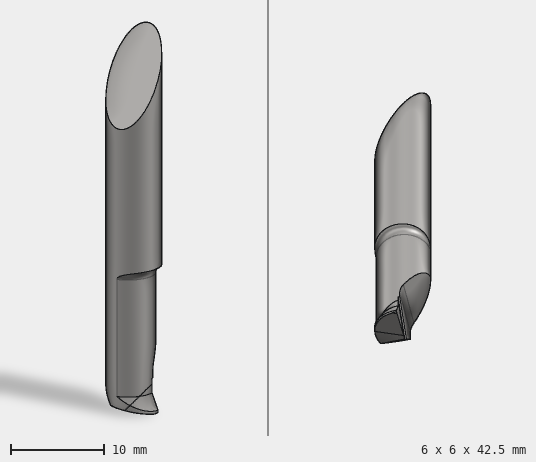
import cadquery as cq
import math

length = 42.45
diameter = 6.0
radius = diameter / 2
reach = 2 * diameter

bevel_angle = math.radians(30)
flat_y = 0.15
slope_top_z = 10.2
slope_blend_radius = 2.97

neck_offset = 0.72
neck_bottom_z = 2.15
neck_top_z = 15.25
neck_fillet = 1.0
flare_angle = math.radians(22)

end_bevel_top_z = 3.2
end_bevel_angle = math.radians(37)
edge_angle = math.radians(8)
relief_angle = math.radians(7.6)
nose_radius = 0.2
nose_x = 2.8
rake_y = 0.0

seat_x = 2.25
seat_z = 3.2
seat_angle = math.radians(45)
seat_tilt = math.radians(15)


def make_bar():
    """Cylinder trimmed to the bevelled, flattened side profile."""
    slope_length_z = (radius - flat_y) / math.tan(bevel_angle)
    slope_bottom_z = slope_top_z - slope_length_z
    bevel_bottom_z = length - diameter / math.tan(bevel_angle)

    tangent = slope_blend_radius * math.tan(bevel_angle / 2)
    blend_start = (flat_y, slope_bottom_z - tangent)
    blend_end = (flat_y + tangent * math.sin(bevel_angle),
                 slope_bottom_z + tangent * math.cos(bevel_angle))
    blend_mid = (flat_y + slope_blend_radius * (1 - math.cos(bevel_angle / 2)),
                 blend_start[1] + slope_blend_radius * math.sin(bevel_angle / 2))
    profile = (
        cq.Workplane("YZ")
        .moveTo(-radius, 0)
        .lineTo(flat_y, 0)
        .lineTo(*blend_start)
        .threePointArc(blend_mid, blend_end)
        .lineTo(radius, slope_top_z)
        .lineTo(radius, length)
        .lineTo(-radius, bevel_bottom_z)
        .close()
        .extrude(reach, both=True)
    )
    return cq.Workplane("XY").circle(radius).extrude(length).intersect(profile)


def neck_cutter():
    """Ring around the neck, with a fillet above and a conical flare below."""
    outer = radius + neck_fillet
    flare_end_z = neck_bottom_z - neck_fillet / math.tan(flare_angle)
    arc_mid = (outer - neck_fillet * math.cos(math.pi / 4),
               neck_top_z + neck_fillet * math.sin(math.pi / 4))
    return (
        cq.Workplane("XZ")
        .moveTo(outer, flare_end_z)
        .lineTo(radius, neck_bottom_z)
        .lineTo(radius, neck_top_z)
        .threePointArc(arc_mid, (outer, neck_top_z + neck_fillet))
        .close()
        .revolve(360, (0, 0), (0, 1))
        .translate((-neck_offset, 0, 0))
    )


def end_bevel_cutter():
    """Wedge below the slanted face on the -X side."""
    run = end_bevel_top_z * math.tan(end_bevel_angle)
    return (
        cq.Workplane("XZ")
        .polyline([(-radius, 0), (-radius, end_bevel_top_z), (-radius + run, 0)])
        .close()
        .extrude(reach, both=True)
    )


def edge_height(x):
    """Height of the cutting edge, tangent to the nose, at the rake face."""
    foot_z = nose_radius * (1 - 1 / math.cos(edge_angle))
    return foot_z + (nose_x - x) * math.tan(edge_angle)


def relief_cutter():
    """Block below the end face, which tilts both ways."""
    normal = (math.tan(edge_angle), math.tan(relief_angle), 1)
    plane = cq.Plane((0, rake_y, edge_height(0)), xDir=(1, 0, -math.tan(edge_angle)), normal=normal)
    return cq.Workplane(plane).rect(2 * reach, 2 * reach).extrude(-reach)


def nose_cutter():
    """Waste outside the rounded nose corner."""
    corner = (
        cq.Workplane("XZ")
        .rect(nose_radius * 2, nose_radius * 2, centered=False)
        .extrude(reach, both=True)
        .translate((nose_x, 0, -nose_radius))
    )
    nose = cq.Workplane("XZ").center(nose_x, nose_radius).circle(nose_radius).extrude(reach, both=True)
    return corner.cut(nose)


def beyond_seat_plane(x, z):
    """Block on the +X side of a plane parallel to the seat, through (x, z) at the rake face."""
    along = (math.sin(seat_angle), 0, math.cos(seat_angle))
    normal = (1 / math.tan(seat_angle), math.tan(seat_tilt), -1)
    plane = cq.Plane((x, rake_y, z), xDir=along, normal=normal)
    return cq.Workplane(plane).rect(2 * reach, 2 * reach).extrude(reach)


def rake_cutter():
    """Shallow recess that lowers the flat to the rake face."""
    bevel_tan = math.tan(end_bevel_angle)
    edge_tan = math.tan(edge_angle)
    corner_x = (-radius + (end_bevel_top_z - edge_height(0)) * bevel_tan) / (1 - edge_tan * bevel_tan)
    behind_rake = (
        cq.Workplane("XY")
        .box(2 * radius, flat_y - rake_y, slope_top_z, centered=(True, False, False))
        .translate((0, rake_y, 0))
    )
    return behind_rake.intersect(beyond_seat_plane(corner_x, edge_height(corner_x)))


whole_bar = (
    make_bar()
    .cut(neck_cutter())
    .cut(end_bevel_cutter())
    .cut(relief_cutter())
    .cut(nose_cutter())
    .cut(rake_cutter())
)

tip_side = beyond_seat_plane(seat_x, seat_z)
shank = whole_bar.cut(tip_side)
cutting_tip = whole_bar.intersect(tip_side)

result = cq.Compound.makeCompound([shank.val(), cutting_tip.val()])